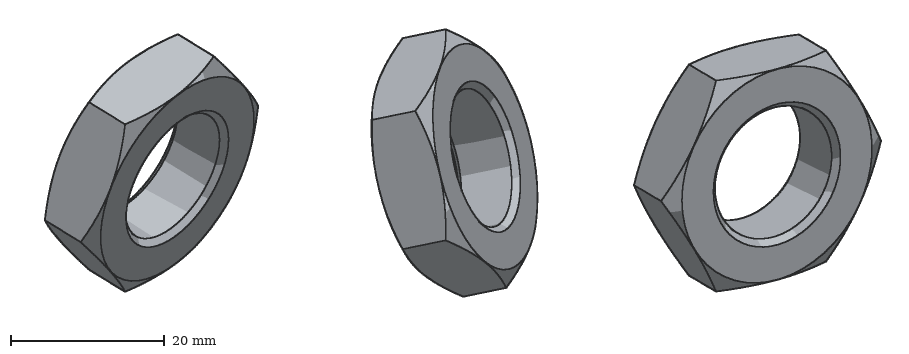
import cadquery as cq
import math

across_corners = 34.65
thickness = 9.0
bore_diameter = 18.35
countersink_diameter = 20.02
face_diameter = 29.93
corner_chamfer_angle = 30.0
countersink_depth = (countersink_diameter - bore_diameter) / 2

half_thickness = thickness / 2
corner_radius = across_corners / 2
face_radius = face_diameter / 2
bore_radius = bore_diameter / 2
countersink_radius = countersink_diameter / 2
corner_chamfer_depth = (corner_radius - face_radius) * math.tan(math.radians(corner_chamfer_angle))


def hexagon_prism():
    return cq.Workplane("YZ").polygon(6, across_corners).extrude(half_thickness, both=True)


def turned_envelope():
    """Ring with conical outer corners and a bore countersunk at both ends."""
    corner_x = half_thickness - corner_chamfer_depth
    bore_x = half_thickness - countersink_depth
    profile = [
        (-half_thickness, countersink_radius),
        (-half_thickness, face_radius),
        (-corner_x, corner_radius),
        (corner_x, corner_radius),
        (half_thickness, face_radius),
        (half_thickness, countersink_radius),
        (bore_x, bore_radius),
        (-bore_x, bore_radius),
    ]
    return cq.Workplane("XY").polyline(profile).close().revolve(360, (0, 0, 0), (1, 0, 0))


result = hexagon_prism().intersect(turned_envelope())